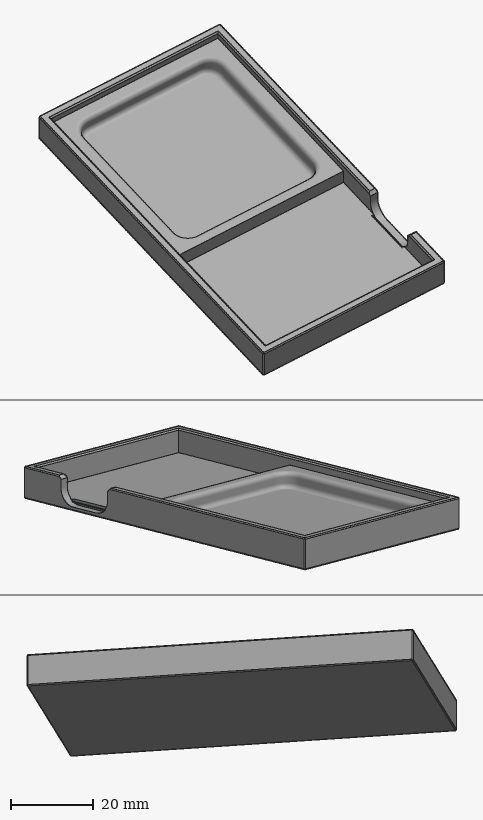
import cadquery as cq

length = 95.2
width = 53.4
height = 8.0
edge_break = 0.3
rim_break = 0.4

wall = 2.2
floor_z = 2.0
deck_z = 6.0
step_x = 7.8

pocket_length = 46.0
pocket_width = 40.65
pocket_x = -18.4
pocket_depth = 4.0
pocket_corner_radius = 4.0
pocket_edge_radius = 1.2

notch_x = 27.0
notch_half_width = 7.9
notch_bottom_z = 0.95
notch_bottom_radius = 4.0
notch_lip = 0.9

relief_half_width = 6.4
relief_length = 0.7
relief_z = 1.3

inner_length = length - 2 * wall
inner_width = width - 2 * wall


def make_tray():
    """Block with a deep bay on the right and a raised deck on the left."""
    block = cq.Workplane("XY").box(length, width, height, centered=(True, True, False))
    block = block.edges().chamfer(edge_break)
    cavity = (
        cq.Workplane("XY", origin=(0, 0, deck_z))
        .rect(inner_length, inner_width)
        .extrude(height - deck_z)
    )
    rim_chamfer = (
        cq.Workplane("XY", origin=(0, 0, height - rim_break))
        .rect(inner_length, inner_width)
        .workplane(offset=rim_break)
        .rect(inner_length + 2 * rim_break, inner_width + 2 * rim_break)
        .loft(ruled=True)
    )
    bay_length = inner_length / 2 - step_x
    bay = (
        cq.Workplane("XY", origin=(step_x + bay_length / 2, 0, floor_z))
        .rect(bay_length, inner_width)
        .extrude(height - floor_z)
    )
    return block.cut(cavity).cut(rim_chamfer).cut(bay)


def make_pocket():
    """Pocket cutter with a rounded bottom edge; its rim is rounded afterwards."""
    return (
        cq.Workplane("XY", origin=(pocket_x, 0, deck_z - pocket_depth))
        .rect(pocket_length, pocket_width)
        .extrude(pocket_depth)
        .edges("|Z")
        .fillet(pocket_corner_radius)
        .faces("<Z")
        .edges()
        .fillet(pocket_edge_radius)
    )


def make_notch():
    """U-shaped cutter with rounded bottom corners and chamfered lips at the rim."""
    flare = notch_half_width + notch_lip
    flat = notch_half_width - notch_bottom_radius
    lip_z = height - notch_lip
    curve_z = notch_bottom_z + notch_bottom_radius
    return (
        cq.Workplane("XZ", origin=(notch_x, width / 2, 0))
        .moveTo(-flare, height)
        .lineTo(-notch_half_width, lip_z)
        .lineTo(-notch_half_width, curve_z)
        .radiusArc((-flat, notch_bottom_z), -notch_bottom_radius)
        .lineTo(flat, notch_bottom_z)
        .radiusArc((notch_half_width, curve_z), -notch_bottom_radius)
        .lineTo(notch_half_width, lip_z)
        .lineTo(flare, height)
        .close()
        .extrude(wall)
    )


def make_relief():
    """Shallow rectangular cutter in the floor beside the notch."""
    relief_y = inner_width / 2 - relief_length / 2
    return (
        cq.Workplane("XY", origin=(notch_x, relief_y, relief_z))
        .rect(2 * relief_half_width, relief_length)
        .extrude(floor_z - relief_z)
    )


def round_pocket_rim(body):
    """Round the top edge all the way around the pocket."""
    margin = 0.1
    rim_edges = cq.selectors.BoxSelector(
        (pocket_x - pocket_length / 2 - margin, -pocket_width / 2 - margin, deck_z - margin),
        (pocket_x + pocket_length / 2 + margin, pocket_width / 2 + margin, deck_z + margin),
        boundingbox=True,
    )
    return body.edges(rim_edges).fillet(pocket_edge_radius)


tray = round_pocket_rim(make_tray().cut(make_pocket()))
result = tray.cut(make_notch()).cut(make_relief())